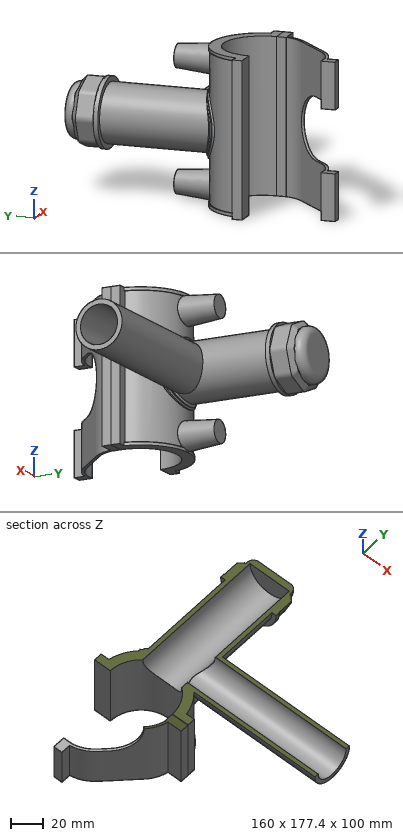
import cadquery as cq
import math

CLAMP_HEIGHT = 100.0
BORE_RADIUS = 25.0
FLANGE_REACH = 38.0
FLANGE_THICKNESS = 6.2

SADDLE_RADIUS = 32.3
RIM_RADIUS = 33.0
RIM_HEIGHT = 2.1
PAD_RADIUS = 33.3
PAD_DIAMETER = 45.0
PAD_STEP_RADIUS = 34.0
PAD_STEP_DIAMETER = 42.2

PIPE_DIAMETER = 38.3
PIPE_BORE = 31.5

COLLAR_DIAMETER = 45.0
COLLAR_START = 98.5
COLLAR_THICKNESS = 3.0
NUT_SIDES = 8
NUT_ACROSS_FLATS = 41.9
NUT_CORNER_RADIUS = 5.0
NUT_END = 116.4
NUT_CHAMFER = 3.4
DOME_DIAMETER = 36.0
DOME_ROUNDING = 5.0
CAP_END = 122.7
PIPE_BORE_END = CAP_END - DOME_ROUNDING

BRANCH_DIAMETER = 32.0
BRANCH_BORE = 25.5
BRANCH_AXIS_Y = 37.5
BRANCH_END = 122.0

PEG_TIP_DIAMETER = 15.0
PEG_TAPER = 5.2
PEG_TIP_Y = 54.8
PEG_OFFSET_Z = 39.5

CLIP_INNER_RADIUS = 26.0
CLIP_THICKNESS = 2.0
CLIP_STRAIGHT = 28.0
CLIP_BEND_ANGLE = 45.0
TAB_LEFT = -22.5
TAB_WIDTH = 6.5
OVERALL_LENGTH = 177.4
TAB_BOTTOM = CAP_END - OVERALL_LENGTH
SLOT_WIDTH = 40.0


def rod_y(diameter, start, end):
    """Cylinder on the Y axis between two Y positions."""
    return cq.Workplane("XZ", origin=(0, start, 0)).circle(diameter / 2).extrude(start - end)


def rod_x(diameter, end):
    """Cylinder on the branch axis, from the main pipe axis outwards."""
    return cq.Workplane("YZ").center(BRANCH_AXIS_Y, 0).circle(diameter / 2).extrude(end)


def half_disc(radius, height, base_z):
    """Half cylinder on the +Y side of the clamp axis."""
    return (
        cq.Workplane("XY", origin=(0, 0, base_z))
        .moveTo(radius, 0)
        .threePointArc((0, radius), (-radius, 0))
        .close()
        .extrude(height)
    )


def saddle_shell():
    """Half shell with raised end rims, side flanges and a stepped pad under the main pipe."""
    bottom = -CLAMP_HEIGHT / 2
    shell = half_disc(SADDLE_RADIUS, CLAMP_HEIGHT, bottom)
    for rim_base in (bottom, -bottom - RIM_HEIGHT):
        shell = shell.union(half_disc(RIM_RADIUS, RIM_HEIGHT, rim_base))
    flanges = cq.Workplane("XY").box(2 * FLANGE_REACH, FLANGE_THICKNESS, CLAMP_HEIGHT)
    shell = shell.union(flanges.translate((0, FLANGE_THICKNESS / 2, 0)))
    for radius, diameter in ((PAD_RADIUS, PAD_DIAMETER), (PAD_STEP_RADIUS, PAD_STEP_DIAMETER)):
        pad = half_disc(radius, CLAMP_HEIGHT, bottom).intersect(rod_y(diameter, 0, radius))
        shell = shell.union(pad)
    return shell


def end_cap():
    """Collar, octagonal nut with chamfered end, and domed nose."""
    nut_start = COLLAR_START + COLLAR_THICKNESS
    across_corners = NUT_ACROSS_FLATS / math.cos(math.pi / NUT_SIDES)
    nut = (
        cq.Workplane("XZ", origin=(0, nut_start, 0))
        .polygon(NUT_SIDES, across_corners)
        .extrude(nut_start - NUT_END)
        .edges("|Y")
        .fillet(NUT_CORNER_RADIUS)
        .faces(">Y")
        .chamfer(NUT_CHAMFER)
    )
    dome = rod_y(DOME_DIAMETER, nut_start, CAP_END).faces(">Y").edges().fillet(DOME_ROUNDING)
    return rod_y(COLLAR_DIAMETER, COLLAR_START, nut_start).union(nut).union(dome)


def peg(height_z):
    """Tapered peg that widens from its tip towards the saddle."""
    length = PEG_TIP_Y - BORE_RADIUS
    return (
        cq.Workplane("XZ", origin=(0, PEG_TIP_Y, height_z))
        .circle(PEG_TIP_DIAMETER / 2)
        .extrude(length, taper=-PEG_TAPER)
    )


def make_saddle():
    """Saddle with its pipes, end cap and pegs, bored through as one body."""
    body = saddle_shell()
    body = body.union(rod_y(PIPE_DIAMETER, 0, COLLAR_START)).union(end_cap())
    body = body.union(rod_x(BRANCH_DIAMETER, BRANCH_END))
    for height_z in (-PEG_OFFSET_Z, PEG_OFFSET_Z):
        body = body.union(peg(height_z))
    body = body.cut(half_disc(BORE_RADIUS, CLAMP_HEIGHT, -CLAMP_HEIGHT / 2))
    body = body.cut(rod_y(PIPE_BORE, 0, PIPE_BORE_END))
    return body.cut(rod_x(BRANCH_BORE, BRANCH_END))


def make_clip():
    """Bent strap with a flange at one end, a tab at the other and an open slot."""
    bend = math.radians(CLIP_BEND_ANGLE)
    inner_radius = CLIP_INNER_RADIUS
    outer_radius = inner_radius + CLIP_THICKNESS
    end_x = -CLIP_STRAIGHT * math.sin(bend)
    end_y = -CLIP_STRAIGHT * math.cos(bend)

    def first_bend(radius, angle):
        return (radius * math.cos(angle), -radius * math.sin(angle))

    def second_bend(radius, angle):
        x, y = first_bend(radius, angle)
        return (end_x + x, end_y + y)

    tab_right = TAB_LEFT + TAB_WIDTH
    flange_inner = math.asin(FLANGE_THICKNESS / inner_radius)
    flange_outer = math.asin(FLANGE_THICKNESS / outer_radius)
    tab_inner = math.acos((tab_right - end_x) / inner_radius)
    tab_outer = math.acos((tab_right - end_x) / outer_radius)
    tab_top = second_bend(inner_radius, tab_inner)[1]
    strap = (
        cq.Workplane("XY", origin=(0, 0, -CLAMP_HEIGHT / 2))
        .moveTo(BORE_RADIUS, 0)
        .lineTo(FLANGE_REACH, 0)
        .lineTo(FLANGE_REACH, -FLANGE_THICKNESS)
        .lineTo(*first_bend(outer_radius, flange_outer))
        .threePointArc(
            first_bend(outer_radius, (flange_outer + bend) / 2), first_bend(outer_radius, bend)
        )
        .lineTo(*second_bend(outer_radius, bend))
        .threePointArc(
            second_bend(outer_radius, (tab_outer + bend) / 2), second_bend(outer_radius, tab_outer)
        )
        .lineTo(tab_right, TAB_BOTTOM)
        .lineTo(TAB_LEFT, TAB_BOTTOM)
        .lineTo(TAB_LEFT, tab_top)
        .lineTo(tab_right, tab_top)
        .threePointArc(
            second_bend(inner_radius, (tab_inner + bend) / 2), second_bend(inner_radius, bend)
        )
        .lineTo(*first_bend(inner_radius, bend))
        .threePointArc(
            first_bend(inner_radius, (flange_inner + bend) / 2), first_bend(inner_radius, flange_inner)
        )
        .lineTo(BORE_RADIUS, -FLANGE_THICKNESS)
        .close()
        .extrude(CLAMP_HEIGHT)
    )
    return strap.cut(clip_slot(outer_radius, bend))


def clip_slot(outer_radius, bend):
    """Round-ended slot, square to the straight stretch and open past the tab."""
    start_x = outer_radius * math.cos(bend)
    start_y = -outer_radius * math.sin(bend)
    along_strap = cq.Plane(
        origin=(start_x, start_y, 0),
        xDir=(-math.sin(bend), -math.cos(bend), 0),
        normal=(math.cos(bend), -math.sin(bend), 0),
    )
    half = SLOT_WIDTH / 2
    reach = 3 * CLIP_STRAIGHT
    return (
        cq.Workplane(along_strap)
        .moveTo(reach, -half)
        .lineTo(half, -half)
        .threePointArc((0, 0), (half, half))
        .lineTo(reach, half)
        .close()
        .extrude(BORE_RADIUS, both=True)
    )


saddle = make_saddle()
clip = make_clip()

result = cq.Compound.makeCompound([saddle.solids().val(), clip.solids().val()])